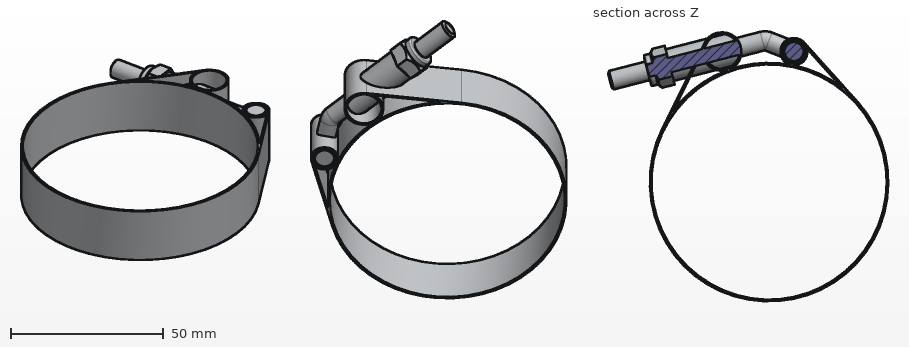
import cadquery as cq
import math


band_width = 19.05
band_thickness = 0.635
ring_inner_radius = 76.96 / 2
ring_outer_radius = ring_inner_radius + band_thickness
loop_overlap = 0.02

trunnion_loop_inner_radius = 11.43 / 2
trunnion_loop_outer_radius = trunnion_loop_inner_radius + band_thickness
trunnion_x = -15.4
pin_loop_inner_radius = 7.62 / 2
pin_loop_outer_radius = pin_loop_inner_radius + band_thickness
pin_x = 8.16

rod_radius = 6.35 / 2
pin_radius = 6.35 / 2
pin_length = band_width
bolt_tilt = 14.5
tip_position = -38.0
tip_chamfer_length = 0.6
tip_chamfer_depth = 0.95
bend_position = 13.7
bend_clearance = 0.02
bend_radius = rod_radius + bend_clearance

sleeve_radius = 10.79 / 2
nut_back = -17.7
nut_length = 5.35
nut_across_flats = 11.43
nut_chamfer_length = 1.2
collar_radius = 10.54 / 2
collar_length = 2.2
collar_fillet = 0.6


def loop_center(x, loop_radius):
    """Centre of a loop that rests on the outside of the ring at the given X."""
    distance = ring_outer_radius + loop_radius - loop_overlap
    return (x, math.sqrt(distance**2 - x**2))


def disc(radius, height, center=(0, 0)):
    """Vertical cylinder centred on Z = 0."""
    return cq.Workplane("XY").center(*center).circle(radius).extrude(height / 2, both=True)


def rod_along_x(radius, start, end):
    """Cylinder on the X axis between two X positions."""
    return cq.Workplane("YZ", origin=(start, 0, 0)).circle(radius).extrude(end - start)


def strap(center, loop_radius, side):
    """Flat strip tangent to the ring and a loop; side is +1 for the left flank, -1 for the right."""
    center_angle = math.atan2(center[1], center[0])
    spread = math.acos((ring_outer_radius - loop_radius) / math.hypot(*center))
    normal_angle = center_angle + side * spread
    nx = math.cos(normal_angle)
    ny = math.sin(normal_angle)
    loop_inner = loop_radius - band_thickness
    corners = [
        (ring_outer_radius * nx, ring_outer_radius * ny),
        (center[0] + loop_radius * nx, center[1] + loop_radius * ny),
        (center[0] + loop_inner * nx, center[1] + loop_inner * ny),
        (ring_inner_radius * nx, ring_inner_radius * ny),
    ]
    return cq.Workplane("XY").polyline(corners).close().extrude(band_width / 2, both=True)


def make_band():
    """Ring, both loops and the straps that join them."""
    band = disc(ring_outer_radius, band_width)
    band = band.cut(disc(ring_inner_radius, band_width))
    loops = [
        (trunnion_center, trunnion_loop_outer_radius, 1),
        (pin_center, pin_loop_outer_radius, -1),
    ]
    for center, radius, side in loops:
        loop = disc(radius, band_width, center).cut(disc(radius - band_thickness, band_width, center))
        loop = loop.union(strap(center, radius, side))
        band = band.union(loop)
    return band


def to_bolt_axis(shape):
    """Move a shape from the X axis onto the tilted bolt axis."""
    return shape.rotate((0, 0, 0), (0, 0, 1), bolt_tilt).translate((*trunnion_center, 0))


def make_sleeve():
    """Trunnion sleeve from the nut into the loop, ending within the far wall of the loop."""
    outside = rod_along_x(sleeve_radius, nut_back, 0)
    inside = rod_along_x(sleeve_radius, 0, trunnion_loop_outer_radius)
    inside = inside.intersect(disc(trunnion_loop_inner_radius + band_thickness / 2, band_width))
    return outside.union(inside)


def make_nut():
    """Hexagonal lock nut with two flats facing +Z and -Z, chamfered towards its round collar."""
    corner_radius = nut_across_flats / math.sqrt(3)
    nut_front = nut_back - nut_length
    hexagon = cq.Workplane("YZ", origin=(nut_front, 0, 0)).polygon(6, 2 * corner_radius).extrude(nut_length)
    chamfer_profile = [
        (nut_front, 0),
        (nut_front, collar_radius),
        (nut_front + nut_chamfer_length, corner_radius),
        (nut_back, corner_radius),
        (nut_back, 0),
    ]
    envelope = cq.Workplane("XY").polyline(chamfer_profile).close().revolve(360, (0, 0, 0), (1, 0, 0))
    collar = rod_along_x(collar_radius, nut_front - collar_length, nut_front)
    collar = collar.faces("<X").edges().fillet(collar_fillet)
    return hexagon.intersect(envelope).union(collar)


def make_bolt():
    """Plain rod, its elbow and the leg that ends in the cross pin, with the rod on the X axis."""
    rod = rod_along_x(rod_radius, tip_position, bend_position)
    rod = rod.faces("<X").chamfer(tip_chamfer_length, tip_chamfer_depth)

    tilt = math.radians(bolt_tilt)
    dx = pin_center[0] - trunnion_center[0]
    dy = pin_center[1] - trunnion_center[1]
    reach_x = dx * math.cos(tilt) + dy * math.sin(tilt) - bend_position
    reach_y = dy * math.cos(tilt) - dx * math.sin(tilt) + bend_radius
    reach = math.hypot(reach_x, reach_y)
    bend_angle = math.degrees(math.asin(bend_radius / reach) - math.atan2(reach_y, reach_x))
    leg_length = math.sqrt(reach**2 - bend_radius**2)

    pivot = (bend_position, -bend_radius, 0)
    pivot_end = (bend_position, -bend_radius, 1)
    elbow = (
        cq.Workplane("YZ", origin=(bend_position, 0, 0))
        .circle(rod_radius)
        .revolve(bend_angle, (-bend_radius, 1, 0), (-bend_radius, 0, 0))
    )
    leg = rod_along_x(rod_radius, bend_position, bend_position + leg_length)
    leg = leg.rotate(pivot, pivot_end, -bend_angle)
    return rod.union(elbow).union(leg)


trunnion_center = loop_center(trunnion_x, trunnion_loop_outer_radius)
pin_center = loop_center(pin_x, pin_loop_outer_radius)

result = (
    make_band()
    .union(to_bolt_axis(make_sleeve()))
    .union(to_bolt_axis(make_nut()))
    .union(to_bolt_axis(make_bolt()))
    .union(disc(pin_radius, pin_length, pin_center))
)